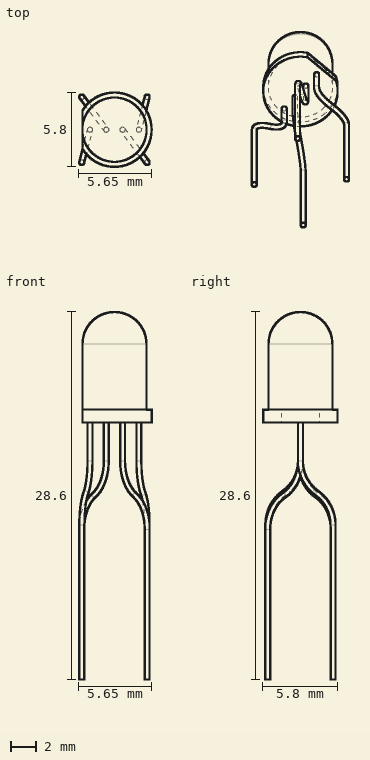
import cadquery as cq
import math

TOTAL_HEIGHT = 28.6

LENS_DIAMETER = 5.0
FLANGE_DIAMETER = 5.8
FLANGE_THICKNESS = 1.0
FLANGE_BOTTOM_Z = 20.0
LENS_RADIUS = LENS_DIAMETER / 2
FLAT_X = -LENS_RADIUS

LEAD_DIAMETER = 0.4
LEAD_COUNT = 4
LEAD_ROW_LENGTH = 3.8
LEAD_PITCH = LEAD_ROW_LENGTH / (LEAD_COUNT - 1)
TIP_SQUARE_SIDE = 5.1
BEND_START_Z = 17.0
BEND_RADIUS = 3.0


def make_lens():
    """Domed cylinder standing on a round flange with one flat."""
    flange = (
        cq.Workplane("XY", origin=(0, 0, FLANGE_BOTTOM_Z))
        .circle(FLANGE_DIAMETER / 2)
        .extrude(FLANGE_THICKNESS)
    )
    keep_beside_flat = (
        cq.Workplane("XY", origin=(FLAT_X, 0, FLANGE_BOTTOM_Z))
        .box(FLANGE_DIAMETER, FLANGE_DIAMETER, FLANGE_THICKNESS, centered=(False, True, False))
    )
    flange = flange.intersect(keep_beside_flat)

    lens_bottom_z = FLANGE_BOTTOM_Z + FLANGE_THICKNESS
    dome_start_z = TOTAL_HEIGHT - LENS_RADIUS
    dome_middle = LENS_RADIUS * math.sqrt(0.5)
    domed_cylinder = (
        cq.Workplane("XZ")
        .moveTo(0, lens_bottom_z)
        .lineTo(LENS_RADIUS, lens_bottom_z)
        .lineTo(LENS_RADIUS, dome_start_z)
        .threePointArc((dome_middle, dome_start_z + dome_middle), (0, TOTAL_HEIGHT))
        .close()
        .revolve(360, (0, 0, 0), (0, 1, 0))
    )
    return flange.union(domed_cylinder)


def make_lead(top_x, tip_x, tip_y):
    """Round wire with two equal, opposite bends that carry it from the row to its tip."""
    run_x = tip_x - top_x
    offset = math.hypot(run_x, tip_y)
    bend_angle = math.acos(1 - offset / (2 * BEND_RADIUS))
    arc_drop = BEND_RADIUS * math.sin(bend_angle)
    middle_z = BEND_START_Z - arc_drop
    bend_end_z = middle_z - arc_drop

    bend_plane = cq.Plane(
        origin=(top_x, 0, 0), xDir=(run_x, tip_y, 0), normal=(tip_y, -run_x, 0)
    )
    half_arc_offset = BEND_RADIUS * (1 - math.cos(bend_angle / 2))
    half_arc_drop = BEND_RADIUS * math.sin(bend_angle / 2)
    path = (
        cq.Workplane(bend_plane)
        .moveTo(0, FLANGE_BOTTOM_Z)
        .lineTo(0, BEND_START_Z)
        .threePointArc((half_arc_offset, BEND_START_Z - half_arc_drop), (offset / 2, middle_z))
        .threePointArc((offset - half_arc_offset, bend_end_z + half_arc_drop), (offset, bend_end_z))
        .lineTo(offset, 0)
    )
    return (
        cq.Workplane("XY", origin=(top_x, 0, FLANGE_BOTTOM_Z))
        .circle(LEAD_DIAMETER / 2)
        .sweep(path)
    )


lens = make_lens()

leads = []
for index in range(LEAD_COUNT):
    top_x = index * LEAD_PITCH - LEAD_ROW_LENGTH / 2
    tip_x = math.copysign(TIP_SQUARE_SIDE / 2, top_x)
    y_side = -1 if index % 2 == 0 else 1
    leads.append(make_lead(top_x, tip_x, y_side * TIP_SQUARE_SIDE / 2))

result = cq.Compound.makeCompound([lens.solids().val(), *[lead.val() for lead in leads]])